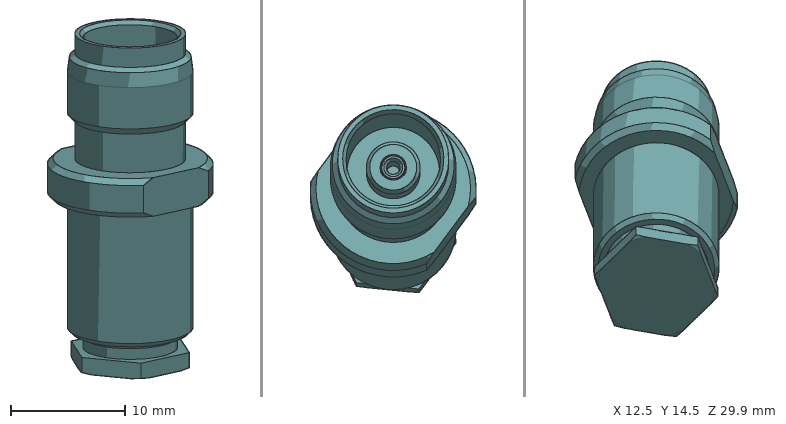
import cadquery as cq
import math

TOTAL_LENGTH = 29.9

HEX_ACROSS_CORNERS = 11.0
HEX_HEIGHT = 1.5
HEX_BOTTOM_RADIUS = 5.1
HEX_CHAMFER_ANGLE = 18.0
HEX_TURN = 30.0

NECK_RADIUS = 4.15
NECK_TOP_Z = 2.47
BARREL_RADIUS = 5.5
BARREL_BOTTOM_Z = 2.9
BARREL_CHAMFER = 0.4
NECK_FLARE = BARREL_BOTTOM_Z - NECK_TOP_Z

FLANGE_RADIUS = 7.25
FLANGE_BOTTOM_Z = 15.1
FLANGE_THICKNESS = 3.5
FLANGE_TOP_Z = FLANGE_BOTTOM_Z + FLANGE_THICKNESS
FLANGE_CHAMFER = 0.5
FLANGE_ACROSS_FLATS = 12.5

SLEEVE_RADIUS = 4.85
COLLAR_RADIUS = 5.5
COLLAR_BOTTOM_Z = 22.1
COLLAR_UNDERCUT = COLLAR_RADIUS - SLEEVE_RADIUS
COLLAR_TAPER_Z = 26.5
COLLAR_TAPER_TOP_Z = 27.8
COLLAR_TAPER_TOP_RADIUS = 5.33
COLLAR_TOP_Z = 28.15

MOUTH_RADIUS = 4.42
MOUTH_CHAMFER_DEPTH = 0.35
SOCKET_TOP_RADIUS = 4.12
SOCKET_FLOOR_RADIUS = 4.05
SOCKET_DEPTH = 5.2

INSULATOR_RADIUS = 2.35
INSULATOR_CHAMFER = 0.3
INSULATOR_RECESS = 3.2
INSULATOR_TOP_Z = TOTAL_LENGTH - INSULATOR_RECESS

GROOVE_OUTER_RADIUS = 1.14
CONTACT_RADIUS = 1.02
GROOVE_DEPTH = 0.5
COUNTERSINK_RADIUS = 0.83
CONTACT_BORE_RADIUS = 0.58
CONTACT_BORE_DEPTH = 2.0


def revolve_about_z(profile):
    """Turn a closed (radius, z) profile about the Z axis."""
    return cq.Workplane("XZ").polyline(profile).close().revolve(360, (0, 0), (0, 1))


def make_hex_nut():
    """Hexagon with flats facing -X and +X and its bottom corners chamfered."""
    hexagon = (
        cq.Workplane("XY")
        .polygon(6, HEX_ACROSS_CORNERS)
        .extrude(HEX_HEIGHT)
        .rotate((0, 0, 0), (0, 0, 1), HEX_TURN)
    )
    corner_radius = HEX_ACROSS_CORNERS / 2
    chamfer_height = (corner_radius - HEX_BOTTOM_RADIUS) * math.tan(math.radians(HEX_CHAMFER_ANGLE))
    chamfer_envelope = revolve_about_z(
        [
            (0, 0),
            (HEX_BOTTOM_RADIUS, 0),
            (corner_radius, chamfer_height),
            (corner_radius, HEX_HEIGHT),
            (0, HEX_HEIGHT),
        ]
    )
    return hexagon.intersect(chamfer_envelope)


def make_turned_body():
    """Neck, barrel, sleeve and collar as one turned shape."""
    return revolve_about_z(
        [
            (0, HEX_HEIGHT),
            (NECK_RADIUS, HEX_HEIGHT),
            (NECK_RADIUS, NECK_TOP_Z),
            (NECK_RADIUS + NECK_FLARE, BARREL_BOTTOM_Z),
            (BARREL_RADIUS - BARREL_CHAMFER, BARREL_BOTTOM_Z),
            (BARREL_RADIUS, BARREL_BOTTOM_Z + BARREL_CHAMFER),
            (BARREL_RADIUS, FLANGE_BOTTOM_Z),
            (SLEEVE_RADIUS, FLANGE_BOTTOM_Z),
            (SLEEVE_RADIUS, COLLAR_BOTTOM_Z),
            (COLLAR_RADIUS, COLLAR_BOTTOM_Z + COLLAR_UNDERCUT),
            (COLLAR_RADIUS, COLLAR_TAPER_Z),
            (COLLAR_TAPER_TOP_RADIUS, COLLAR_TAPER_TOP_Z),
            (SLEEVE_RADIUS, COLLAR_TOP_Z),
            (SLEEVE_RADIUS, TOTAL_LENGTH),
            (0, TOTAL_LENGTH),
        ]
    )


def make_flange():
    """Round flange, chamfered on both rims, with flats on -X and +X."""
    disc = (
        cq.Workplane("XY", origin=(0, 0, FLANGE_BOTTOM_Z))
        .circle(FLANGE_RADIUS)
        .extrude(FLANGE_THICKNESS)
        .edges()
        .chamfer(FLANGE_CHAMFER)
    )
    flats = cq.Workplane("XY", origin=(0, 0, (FLANGE_BOTTOM_Z + FLANGE_TOP_Z) / 2)).box(
        FLANGE_ACROSS_FLATS, 2 * FLANGE_RADIUS, FLANGE_THICKNESS
    )
    return disc.intersect(flats)


def make_socket_void():
    """Annular space between the socket wall and the insulator, open at the top."""
    floor_z = TOTAL_LENGTH - SOCKET_DEPTH
    return revolve_about_z(
        [
            (0, TOTAL_LENGTH),
            (MOUTH_RADIUS, TOTAL_LENGTH),
            (SOCKET_TOP_RADIUS, TOTAL_LENGTH - MOUTH_CHAMFER_DEPTH),
            (SOCKET_FLOOR_RADIUS, floor_z),
            (INSULATOR_RADIUS, floor_z),
            (INSULATOR_RADIUS, INSULATOR_TOP_Z - INSULATOR_CHAMFER),
            (INSULATOR_RADIUS - INSULATOR_CHAMFER, INSULATOR_TOP_Z),
            (0, INSULATOR_TOP_Z),
        ]
    )


def make_contact_groove():
    """Narrow ring-shaped clearance between the insulator and the contact."""
    return (
        cq.Workplane("XY", origin=(0, 0, INSULATOR_TOP_Z))
        .circle(GROOVE_OUTER_RADIUS)
        .circle(CONTACT_RADIUS)
        .extrude(-GROOVE_DEPTH)
    )


def make_contact_bore():
    """Blind bore of the contact with a 45 degree countersink."""
    countersink_depth = COUNTERSINK_RADIUS - CONTACT_BORE_RADIUS
    bore_floor_z = INSULATOR_TOP_Z - CONTACT_BORE_DEPTH
    return revolve_about_z(
        [
            (0, INSULATOR_TOP_Z),
            (COUNTERSINK_RADIUS, INSULATOR_TOP_Z),
            (CONTACT_BORE_RADIUS, INSULATOR_TOP_Z - countersink_depth),
            (CONTACT_BORE_RADIUS, bore_floor_z),
            (0, bore_floor_z),
        ]
    )


outside = make_turned_body().union(make_flange()).union(make_hex_nut())
result = outside.cut(make_socket_void()).cut(make_contact_groove()).cut(make_contact_bore())